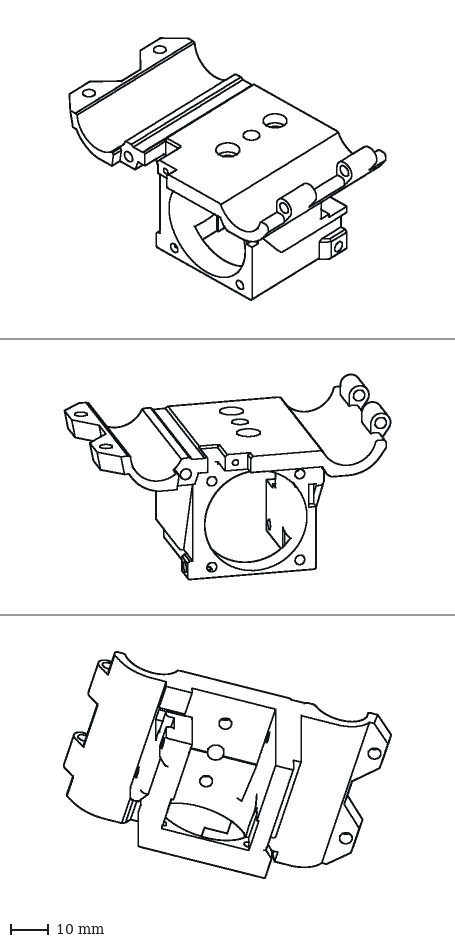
import cadquery as cq
import math

SWING_ANGLE = -20.7

FRONT_Y = -28.0
BACK_Y = 17.1
PLATE_LENGTH = BACK_Y - FRONT_Y
PLATE_BOTTOM = -4.5
RAIL_AXIS_Z = 3.0
LEFT_RAIL_X = -29.4
RAIL_SPACING = 51.85
RIGHT_RAIL_X = LEFT_RAIL_X + RAIL_SPACING
TROUGH_RADIUS = 7.7
RAIL_WALL = 2.9
RAIL_RADIUS = TROUGH_RADIUS + RAIL_WALL
RAIL_BOTTOM = RAIL_AXIS_Z - RAIL_RADIUS
RIGHT_FLAT_X = 17.8
RIGHT_STEP_BEND = (16.7, -6.9)
RIGHT_STEP_X = 15.3
BLOCK_STEP_X = -17.7
BLOCK_FLAT_X = -18.7
LEFT_BELLY = (-34.4, -5.6)
LEFT_BELLY_TOP_X = -37.4
LEAD_WIDTH = 0.7
LEAD_DEPTH = 0.22

HINGE_X = 32.85
HINGE_Z = 4.2
HINGE_RADIUS = 2.7
HINGE_BORE = 3.05
HINGE_LENGTH = 9.6
HINGE_STARTS = (-21.9, 1.2)
RIM_X = 32.85
RIM_TOP = 1.6
RIM_INNER_ROUND = 0.8
RIM_OUTER_ROUND = 1.05

TAB_BOTTOM = -2.1
TAB_CENTRES = (8.2, -18.9)
TAB_TIP_X = -44.9
TAB_ROOT_X = -38.95
TAB_HALF_WIDTH = 3.9
TAB_FLARE = 6.0
TAB_END_X = -39.65
TAB_LEAN = 1.0
TAB_HOLE_X = -41.4
TAB_HOLE = 3.3

PLATE_HOLE = 4.4
SCREW_SPACING = 18.1
SCREW_HOLE = 3.3
SCREW_HEAD = 6.3
SCREW_HEAD_DEPTH = 3.0

RECESS_Y = -24.9
RECESS_LEFT = -24.9
RECESS_SHELF = 0.8
RECESS_SHELF_Z = -3.05
RECESS_WALL_TOP = (-23.8, -3.75)
RECESS_FOOT_X = -24.5
RECESS_RIGHT = -4.2
SLOT_LEFT = -15.2
SLOT_RIGHT = -10.5
SLOT_END_Y = -17.0
SLOT_CORNER = 0.7
EDGE_BREAK = 0.6
GROOVE_LEFT = -20.1
GROOVE_RIGHT = -15.3
GROOVE_DEPTH = 0.5
GROOVE_SLOPE = 0.7
BLOCK_HOLE = 3.0
BLOCK_HOLE_X = -21.2
BLOCK_HOLE_DEPTH = 17.4
TAPPED_HOLE = 1.6
TAPPED_HOLE_X = -7.6
TAPPED_HOLE_Z = -2.4
TAPPED_HOLE_DEPTH = 5.2

DUCT_FRONT_Y = -17.0
DUCT_BOTTOM = -36.95
DUCT_TOP = PLATE_BOTTOM
DUCT_HALF = 16.5
CHEEK_HALF = 17.25
PANEL_HALF = 18.65
BOTTOM_ROUND = 0.7
PANEL_SLANT_END_Y = -7.3
LEFT_SLANT_TOP = -9.8
LEFT_PANEL_BOTTOM = -31.8
LEFT_PANEL_ROUND = 0.8
RIGHT_SLANT_TOP = -13.6
RIGHT_PANEL_BOTTOM = -25.45
RIGHT_PANEL_ROUND = 1.05
FOOT_LENGTH = 6.1
FOOT_BREAK = 0.6
LEFT_FOOT_TOP = -31.8
RIGHT_FOOT_TOP = -30.7
NOTCH_LEFT = 14.5
NOTCH_DEPTH = 2.4
NOTCH_TOP = -13.1
NOTCH_BOTTOM = -19.4
SEAM = 0.7
FAN_Z = -22.0
FAN_RADIUS = 13.9
FAN_PLATE = 7.1
FAN_SCREW_PITCH = 24.05
FAN_SCREW = 2.6
CHAMBER_HALF = 11.5
FUNNEL_END_Y = -0.6
POCKET_HALF = 12.0
POCKET_TOP = -30.2
SIDE_HOLE = 2.9
SIDE_HOLE_Z = -10.5
FOOT_HOLE_Z = -34.3
LEFT_SIDE_HOLES = [(9.8, SIDE_HOLE_Z), (-14.1, FOOT_HOLE_Z)]
RIGHT_SIDE_HOLES = [(-10.2, SIDE_HOLE_Z), (13.85, FOOT_HOLE_Z)]
WINDOW_RIM_Y = 10.3
WINDOW_Y = 7.15
WINDOW_TOP = -10.0
WINDOW_BOTTOM = -22.8
WINDOW_STEP = 1.05
OVERCUT = 0.9


def box(x0, x1, y0, y1, z0, z1):
    """Block between pairs of X, Y and Z limits."""
    return cq.Workplane("XY").box(x1 - x0, y1 - y0, z1 - z0, centered=False).translate((x0, y0, z0))


def along_y(y0):
    """Sketch plane in X and Z at depth y0; a negative extrusion runs toward +Y."""
    return cq.Workplane("XZ", origin=(0, y0, 0))


def along_x(x0):
    """Sketch plane in Y and Z at x0, extruding toward +X."""
    return cq.Workplane("YZ", origin=(x0, 0, 0))


def point_on_circle(centre_x, centre_z, radius, degrees):
    """X and Z of a point on a circle, measured anticlockwise from +X."""
    angle = math.radians(degrees)
    return (centre_x + radius * math.cos(angle), centre_z + radius * math.sin(angle))


def trough_x(z):
    """Half width of a rail trough at height z."""
    return math.sqrt(TROUGH_RADIUS**2 - (RAIL_AXIS_Z - z) ** 2)


hinge_dx = HINGE_X - RIGHT_RAIL_X
hinge_dz = HINGE_Z - RAIL_AXIS_Z
hinge_reach = math.hypot(hinge_dx, hinge_dz)
flank_angle = math.degrees(
    math.atan2(hinge_dz, hinge_dx) - math.acos((RAIL_RADIUS - HINGE_RADIUS) / hinge_reach)
)
flank_low = point_on_circle(RIGHT_RAIL_X, RAIL_AXIS_Z, RAIL_RADIUS, flank_angle)
flank_high = point_on_circle(HINGE_X, HINGE_Z, HINGE_RADIUS, flank_angle)
flank_slope = (flank_high[1] - flank_low[1]) / (flank_high[0] - flank_low[0])


def plate_with_rails():
    """Flat plate with a half-round trough on each side, as one profile."""
    edge_half = trough_x(-LEAD_DEPTH)
    lip_z = RAIL_AXIS_Z - LEAD_DEPTH
    lip_half = trough_x(lip_z)
    trough_bottom = RAIL_AXIS_Z - TROUGH_RADIUS
    rim_inner_z = RIM_TOP - RIM_INNER_ROUND
    rim_inner_x = RIGHT_RAIL_X + trough_x(rim_inner_z)
    rim_inner_centre_x = rim_inner_x + RIM_INNER_ROUND
    rim_outer_z = RIM_TOP - RIM_OUTER_ROUND
    rim_outer_centre_x = RIM_X - RIM_OUTER_ROUND
    rim_foot_z = flank_low[1] + flank_slope * (RIM_X - flank_low[0])
    under_arc_middle = point_on_circle(RIGHT_RAIL_X, RAIL_AXIS_Z, RAIL_RADIUS, (flank_angle - 90) / 2)
    profile = (
        along_y(FRONT_Y)
        .moveTo(LEFT_RAIL_X - lip_half - LEAD_WIDTH, RAIL_AXIS_Z)
        .lineTo(LEFT_RAIL_X - lip_half, lip_z)
        .threePointArc((LEFT_RAIL_X, trough_bottom), (LEFT_RAIL_X + edge_half, -LEAD_DEPTH))
        .lineTo(LEFT_RAIL_X + edge_half + LEAD_WIDTH, 0)
        .lineTo(RIGHT_RAIL_X - edge_half - LEAD_WIDTH, 0)
        .lineTo(RIGHT_RAIL_X - edge_half, -LEAD_DEPTH)
        .threePointArc((RIGHT_RAIL_X, trough_bottom), (rim_inner_x, rim_inner_z))
        .threePointArc(
            point_on_circle(rim_inner_centre_x, rim_inner_z, RIM_INNER_ROUND, 135),
            (rim_inner_centre_x, RIM_TOP),
        )
        .lineTo(rim_outer_centre_x, RIM_TOP)
        .threePointArc(
            point_on_circle(rim_outer_centre_x, rim_outer_z, RIM_OUTER_ROUND, 45),
            (RIM_X, rim_outer_z),
        )
        .lineTo(RIM_X, rim_foot_z)
        .lineTo(*flank_low)
        .threePointArc(under_arc_middle, (RIGHT_RAIL_X, RAIL_BOTTOM))
        .lineTo(RIGHT_FLAT_X, RAIL_BOTTOM)
        .lineTo(*RIGHT_STEP_BEND)
        .lineTo(RIGHT_STEP_X, PLATE_BOTTOM)
        .lineTo(BLOCK_STEP_X, PLATE_BOTTOM)
        .lineTo(BLOCK_FLAT_X, RAIL_BOTTOM)
        .lineTo(LEFT_RAIL_X, RAIL_BOTTOM)
        .threePointArc(LEFT_BELLY, (LEFT_BELLY_TOP_X, TAB_BOTTOM))
        .close()
    )
    return profile.extrude(-PLATE_LENGTH)


def hinge_knuckle(start_y):
    """Bored knuckle standing on the outer edge of the right rail."""
    left_x = HINGE_X - HINGE_RADIUS
    web = (
        along_y(start_y)
        .polyline([
            (HINGE_X, HINGE_Z),
            (left_x, HINGE_Z),
            (left_x, RIM_TOP - RIM_INNER_ROUND),
            flank_low,
            flank_high,
        ])
        .close()
        .extrude(-HINGE_LENGTH)
    )
    barrel = along_y(start_y).center(HINGE_X, HINGE_Z).circle(HINGE_RADIUS).extrude(-HINGE_LENGTH)
    bore = along_y(start_y).center(HINGE_X, HINGE_Z).circle(HINGE_BORE / 2).extrude(-HINGE_LENGTH)
    return web.union(barrel).cut(bore)


def clamp_tabs():
    """Two pointed ears whose outer walls lean in toward the bottom."""
    back, front = TAB_CENTRES
    outline = [
        (TAB_END_X, BACK_Y),
        (TAB_TIP_X, back + TAB_HALF_WIDTH),
        (TAB_TIP_X, back - TAB_HALF_WIDTH),
        (TAB_ROOT_X, back - TAB_HALF_WIDTH - TAB_FLARE),
        (TAB_ROOT_X, front + TAB_HALF_WIDTH + TAB_FLARE),
        (TAB_TIP_X, front + TAB_HALF_WIDTH),
        (TAB_TIP_X, front - TAB_HALF_WIDTH),
        (TAB_END_X, FRONT_Y),
    ]
    inner_x = LEFT_RAIL_X - TROUGH_RADIUS - LEAD_WIDTH
    bottom_inner_x = inner_x + 2 * TAB_LEAN
    top = outline + [(inner_x, FRONT_Y), (inner_x, BACK_Y)]
    bottom = [(x + TAB_LEAN, y) for x, y in outline]
    bottom += [(bottom_inner_x, FRONT_Y), (bottom_inner_x, BACK_Y)]
    ears = (
        cq.Workplane("XY", origin=(0, 0, TAB_BOTTOM))
        .polyline(bottom)
        .close()
        .workplane(offset=RAIL_AXIS_Z - TAB_BOTTOM)
        .polyline(top)
        .close()
        .loft(ruled=True)
    )
    holes = (
        cq.Workplane("XY", origin=(0, 0, TAB_BOTTOM))
        .pushPoints([(TAB_HOLE_X, y) for y in TAB_CENTRES])
        .circle(TAB_HOLE / 2)
        .extrude(RAIL_AXIS_Z - TAB_BOTTOM)
    )
    return ears.cut(holes)


def plate_holes():
    """Middle hole and two counterbored screw holes, down into the duct."""
    depth = -2 * RAIL_BOTTOM
    screws = [(0, -SCREW_SPACING / 2), (0, SCREW_SPACING / 2)]
    middle = cq.Workplane("XY").circle(PLATE_HOLE / 2).extrude(-depth)
    shanks = cq.Workplane("XY").pushPoints(screws).circle(SCREW_HOLE / 2).extrude(-depth)
    heads = cq.Workplane("XY").pushPoints(screws).circle(SCREW_HEAD / 2).extrude(-SCREW_HEAD_DEPTH)
    return middle.union(shanks).union(heads)


def front_edge_cuts():
    """Set-back front edge, slot with broken top edges, cable groove and two end holes."""
    cut_front = FRONT_Y - OVERCUT
    cut_bottom = RAIL_BOTTOM - OVERCUT
    recess = (
        along_y(cut_front)
        .polyline([
            (RECESS_LEFT, OVERCUT),
            (RECESS_LEFT, RECESS_SHELF_Z),
            (RECESS_LEFT + RECESS_SHELF, RECESS_SHELF_Z),
            RECESS_WALL_TOP,
            (RECESS_FOOT_X, cut_bottom),
            (RECESS_RIGHT, cut_bottom),
            (RECESS_RIGHT, OVERCUT),
        ])
        .close()
        .extrude(cut_front - RECESS_Y)
    )
    recess_break = (
        along_y(cut_front)
        .polyline([(RECESS_RIGHT, -EDGE_BREAK), (RECESS_RIGHT + EDGE_BREAK, 0), (RECESS_RIGHT, 0)])
        .close()
        .extrude(cut_front - RECESS_Y)
    )
    slot = box(SLOT_LEFT, SLOT_RIGHT, cut_front, SLOT_END_Y, PLATE_BOTTOM - OVERCUT, OVERCUT)
    slot = slot.edges("|Z and >Y and >X").fillet(SLOT_CORNER)
    slot_break = (
        cq.Workplane("XY", origin=(0, 0, -EDGE_BREAK))
        .moveTo((SLOT_LEFT + SLOT_RIGHT) / 2, (cut_front + SLOT_END_Y) / 2)
        .rect(SLOT_RIGHT - SLOT_LEFT, SLOT_END_Y - cut_front)
        .extrude(EDGE_BREAK, taper=-45)
    )
    groove = (
        along_y(FRONT_Y)
        .polyline([
            (GROOVE_LEFT, 0),
            (GROOVE_RIGHT, 0),
            (GROOVE_RIGHT - GROOVE_SLOPE, -GROOVE_DEPTH),
            (GROOVE_LEFT + GROOVE_SLOPE, -GROOVE_DEPTH),
        ])
        .close()
        .extrude(-PLATE_LENGTH)
    )
    block_hole = (
        along_y(RECESS_Y)
        .center(BLOCK_HOLE_X, PLATE_BOTTOM)
        .circle(BLOCK_HOLE / 2)
        .extrude(-BLOCK_HOLE_DEPTH)
    )
    tapped_hole = (
        along_y(RECESS_Y)
        .center(TAPPED_HOLE_X, TAPPED_HOLE_Z)
        .circle(TAPPED_HOLE / 2)
        .extrude(-TAPPED_HOLE_DEPTH)
    )
    cuts = recess
    for cutter in (recess_break, slot, slot_break, groove, block_hole, tapped_hole):
        cuts = cuts.union(cutter)
    return cuts


def foot(outward, end_y, inboard, top_z):
    """Screw foot on one side of the duct.

    outward is the X sign of its side; inboard is the Y sign from its flush end to
    its other end, which slopes back to the wall at 45 degrees.
    """
    slope_y = end_y + inboard * FOOT_LENGTH
    root_y = slope_y + inboard * (PANEL_HALF - DUCT_HALF)
    shape = (
        cq.Workplane("XY", origin=(0, 0, DUCT_BOTTOM))
        .polyline([
            (outward * CHAMBER_HALF, end_y),
            (outward * PANEL_HALF, end_y),
            (outward * PANEL_HALF, slope_y),
            (outward * DUCT_HALF, root_y),
            (outward * CHAMBER_HALF, root_y),
        ])
        .close()
        .extrude(top_z - DUCT_BOTTOM)
    )
    shape = shape.faces(">Z").edges("not |X").chamfer(FOOT_BREAK)
    outer_face = ">X" if outward > 0 else "<X"
    return shape.faces(outer_face).edges("|Y and <Z").fillet(BOTTOM_ROUND)


def side_panel(x0, x1, outer_face, slant_top_z, bottom_z, edge_round):
    """Raised side panel with a slanting front edge and rounded lower edges."""
    outline = [
        (DUCT_FRONT_Y, DUCT_TOP),
        (DUCT_FRONT_Y, slant_top_z),
        (PANEL_SLANT_END_Y, bottom_z),
        (BACK_Y, bottom_z),
        (BACK_Y, DUCT_TOP),
    ]
    panel = along_x(x0).polyline(outline).close().extrude(x1 - x0)
    return panel.faces(outer_face).edges("not (|Z or >Z)").fillet(edge_round)


def duct_body():
    """Solid duct block with its cheek, side panels, feet and corner notch."""
    core = box(-DUCT_HALF, DUCT_HALF, DUCT_FRONT_Y, BACK_Y, DUCT_BOTTOM, DUCT_TOP)
    core = core.edges("<Z and |Y").fillet(BOTTOM_ROUND)
    notch_back_y = DUCT_FRONT_Y + NOTCH_DEPTH
    notch = box(NOTCH_LEFT, DUCT_HALF, DUCT_FRONT_Y, notch_back_y, NOTCH_BOTTOM, NOTCH_TOP)
    body = core.cut(notch)
    pieces = [
        box(-CHEEK_HALF, 0, DUCT_FRONT_Y, BACK_Y, LEFT_PANEL_BOTTOM, DUCT_TOP),
        side_panel(
            -PANEL_HALF, -DUCT_HALF, "<X", LEFT_SLANT_TOP, LEFT_PANEL_BOTTOM, LEFT_PANEL_ROUND
        ),
        side_panel(
            DUCT_HALF, PANEL_HALF, ">X", RIGHT_SLANT_TOP, RIGHT_PANEL_BOTTOM, RIGHT_PANEL_ROUND
        ),
        foot(-1, DUCT_FRONT_Y, 1, LEFT_FOOT_TOP),
        foot(1, BACK_Y, -1, RIGHT_FOOT_TOP),
    ]
    for piece in pieces:
        body = body.union(piece)
    return body


def plate_seam(x0, x1):
    """Small sloped strip between the underside of the plate and the fan face."""
    strip = [
        (DUCT_FRONT_Y, DUCT_TOP),
        (DUCT_FRONT_Y - SEAM, DUCT_TOP),
        (DUCT_FRONT_Y, DUCT_TOP - SEAM),
    ]
    return along_x(x0).polyline(strip).close().extrude(x1 - x0)


def duct_cavity():
    """Round fan inlet, funnel, and a chamber open at the back and the bottom."""
    inlet_end = DUCT_FRONT_Y + FAN_PLATE
    inlet = along_y(DUCT_FRONT_Y).center(0, FAN_Z).circle(FAN_RADIUS).extrude(-FAN_PLATE)
    funnel_top = FAN_Z + FAN_RADIUS
    funnel_end = (funnel_top + POCKET_TOP) / 2
    funnel = (
        along_y(inlet_end)
        .center(0, FAN_Z)
        .circle(FAN_RADIUS)
        .workplane(offset=inlet_end - FUNNEL_END_Y)
        .center(0, funnel_end - FAN_Z)
        .rect(2 * CHAMBER_HALF, funnel_top - POCKET_TOP)
        .loft(ruled=True)
    )
    floor = DUCT_BOTTOM - OVERCUT
    pocket = box(-POCKET_HALF, POCKET_HALF, inlet_end, FUNNEL_END_Y, floor, POCKET_TOP)
    chamber = box(-CHAMBER_HALF, CHAMBER_HALF, FUNNEL_END_Y, BACK_Y + OVERCUT, floor, RAIL_BOTTOM)
    return inlet.union(funnel).union(pocket).union(chamber)


def duct_cuts():
    """Fan screw holes, side screw holes and the stepped window in the right wall."""
    cuts = (
        along_y(DUCT_FRONT_Y)
        .center(0, FAN_Z)
        .rect(FAN_SCREW_PITCH, FAN_SCREW_PITCH, forConstruction=True)
        .vertices()
        .circle(FAN_SCREW / 2)
        .extrude(-FAN_PLATE)
    )
    wall = PANEL_HALF - CHAMBER_HALF
    for x0, places in ((-PANEL_HALF, LEFT_SIDE_HOLES), (CHAMBER_HALF, RIGHT_SIDE_HOLES)):
        cuts = cuts.union(along_x(x0).pushPoints(places).circle(SIDE_HOLE / 2).extrude(wall))
    outside = PANEL_HALF + OVERCUT
    behind = BACK_Y + OVERCUT
    rim = box(CHAMBER_HALF, outside, WINDOW_RIM_Y, behind, WINDOW_BOTTOM, WINDOW_TOP)
    window = box(
        CHAMBER_HALF, outside, WINDOW_Y, behind, WINDOW_BOTTOM + WINDOW_STEP, WINDOW_TOP - WINDOW_STEP
    )
    return cuts.union(rim).union(window)


part = plate_with_rails().union(clamp_tabs())
for start in HINGE_STARTS:
    part = part.union(hinge_knuckle(start))
part = part.cut(front_edge_cuts())
part = part.union(duct_body())
part = part.union(plate_seam(BLOCK_STEP_X, SLOT_LEFT))
part = part.union(plate_seam(SLOT_RIGHT, RIGHT_STEP_X))
part = part.cut(duct_cavity()).cut(duct_cuts()).cut(plate_holes())

result = part.rotate((0, 0, 0), (0, 0, 1), SWING_ANGLE)